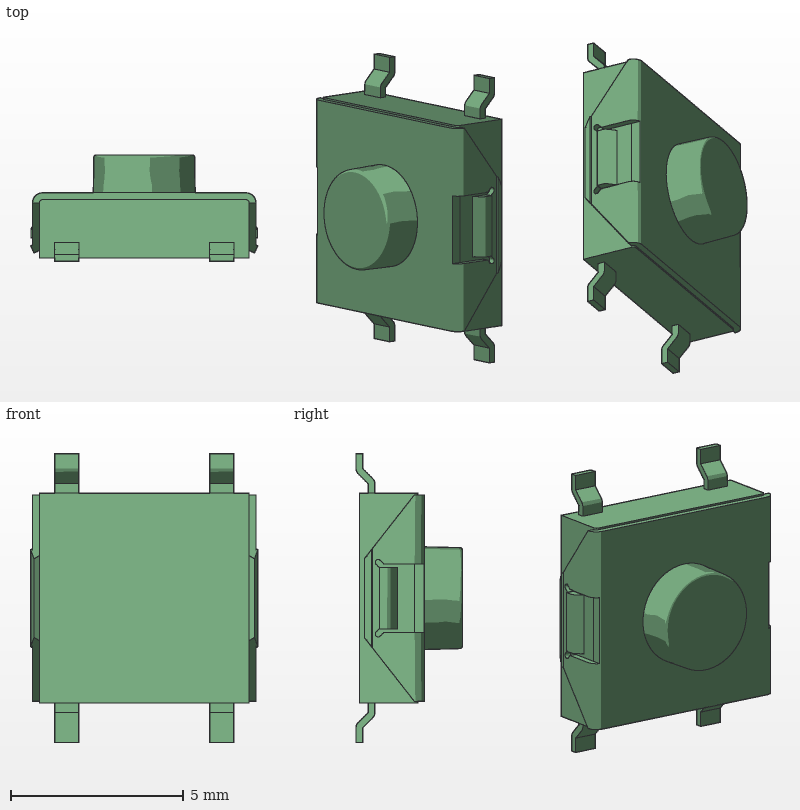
import cadquery as cq
import math


HOUSING_SIDE = 6.1
HOUSING_HEIGHT = 1.7
HALF_SIDE = HOUSING_SIDE / 2

SHEET = 0.2
COVER_LENGTH = 6.0
INNER_BEND = 0.1
OUTER_BEND = INNER_BEND + SHEET
COVER_TOP = HOUSING_HEIGHT + SHEET
FLAP_OUTER = HALF_SIDE + SHEET
FLAP_TIP_Y = 0.14
FLAP_TIP_LENGTH = 2.285
TAPER_START_Y = COVER_TOP - OUTER_BEND

LIP_OUTER = 3.3
LIP_START_Y = 0.35
LIP_ANGLE = 25.0

WINDOW_LENGTH = 2.0
WINDOW_FLOOR = 0.59
RELIEF_WIDTH = 0.17
RELIEF_LENGTH = 0.42
RELIEF_TILT = 45.0
RELIEF_OFFSET = 0.04

LATCH_LENGTH = 1.78
LATCH_TOP = 1.11
LATCH_OUTER = 3.29
LATCH_ROUND = 0.15

BUTTON_TOP = 3.0
BUTTON_BASE_RADIUS = 1.495
BUTTON_TOP_RADIUS = 1.47
BUTTON_ROUND = 0.08

LEAD_SPAN = 8.4
LEAD_WIDTH = 0.705
LEAD_SHEET = 0.2
LEAD_X = 2.25
FOOT_BOTTOM = -0.1
SHOULDER_BOTTOM = 0.25
LEAD_BEND = 45.0
FOOT_LENGTH = 0.44


def make_latch():
    """Latch on the +X wall: 45 degree ramp, rounded crest, flat underside."""
    crest_y = LATCH_TOP - (LATCH_OUTER - HALF_SIDE)
    latch = (
        cq.Workplane("XY")
        .moveTo(HALF_SIDE, WINDOW_FLOOR)
        .lineTo(LATCH_OUTER, WINDOW_FLOOR)
        .lineTo(LATCH_OUTER, crest_y)
        .lineTo(HALF_SIDE, LATCH_TOP)
        .close()
        .extrude(LATCH_LENGTH / 2, both=True)
    )
    crest = cq.selectors.NearestToPointSelector((LATCH_OUTER, crest_y, 0))
    return latch.edges("|Z").edges(crest).fillet(LATCH_ROUND)


def make_housing():
    block = (
        cq.Workplane("XY")
        .center(0, HOUSING_HEIGHT / 2)
        .rect(HOUSING_SIDE, HOUSING_HEIGHT)
        .extrude(HOUSING_SIDE / 2, both=True)
        .edges("|Z and >Y")
        .fillet(INNER_BEND)
    )
    latch = make_latch()
    return block.union(latch).union(latch.mirror("YZ"))


def make_button():
    """Slightly tapered round button standing on the housing."""
    slope = (BUTTON_BASE_RADIUS - BUTTON_TOP_RADIUS) / (BUTTON_TOP - COVER_TOP)
    foot_radius = BUTTON_BASE_RADIUS + slope * SHEET
    return (
        cq.Workplane("YZ")
        .moveTo(HOUSING_HEIGHT, 0)
        .lineTo(HOUSING_HEIGHT, foot_radius)
        .lineTo(BUTTON_TOP, BUTTON_TOP_RADIUS)
        .lineTo(BUTTON_TOP, 0)
        .close()
        .revolve(360, (0, 0, 0), (1, 0, 0))
        .faces(">Y")
        .edges()
        .fillet(BUTTON_ROUND)
    )


def cover_blank():
    """Round-cornered blank down to the lips; cutting the housing from it leaves plate and flaps."""
    height = COVER_TOP - LIP_START_Y
    return (
        cq.Workplane("XY")
        .center(0, LIP_START_Y + height / 2)
        .rect(2 * FLAP_OUTER, height)
        .extrude(COVER_LENGTH / 2, both=True)
        .edges("|Z and >Y")
        .fillet(OUTER_BEND)
    )


def lip():
    """Lip section, square to its own slant and flush with the housing wall."""
    slant = math.tan(math.radians(LIP_ANGLE))
    tip_x = LIP_OUTER - (LIP_START_Y - FLAP_TIP_Y) * slant
    return (
        cq.Workplane("XY")
        .moveTo(LIP_OUTER, LIP_START_Y)
        .lineTo(tip_x, FLAP_TIP_Y)
        .lineTo(HALF_SIDE, FLAP_TIP_Y + (tip_x - HALF_SIDE) * slant)
        .lineTo(HALF_SIDE, LIP_START_Y + (LIP_OUTER - HALF_SIDE) * slant)
        .close()
        .extrude(COVER_LENGTH / 2, both=True)
    )


def side_outline():
    """Prism along X with the outline of the tapered flaps."""
    half_length = COVER_LENGTH / 2
    half_tip = FLAP_TIP_LENGTH / 2
    return (
        cq.Workplane("YZ")
        .polyline([
            (COVER_TOP, -half_length),
            (COVER_TOP, half_length),
            (TAPER_START_Y, half_length),
            (FLAP_TIP_Y, half_tip),
            (FLAP_TIP_Y, -half_tip),
            (TAPER_START_Y, -half_length),
        ])
        .close()
        .extrude(LIP_OUTER, both=True)
    )


def window():
    """Cutter for the +X window, open through the top bend, with corner reliefs."""
    depth = LIP_OUTER - HALF_SIDE
    wall = cq.Workplane("YZ", origin=(HALF_SIDE, 0, 0))
    height = COVER_TOP - WINDOW_FLOOR
    opening = wall.center(WINDOW_FLOOR + height / 2, 0).rect(height, WINDOW_LENGTH).extrude(depth)
    inward = (RELIEF_LENGTH - RELIEF_WIDTH) / 2 * math.sin(math.radians(RELIEF_TILT)) - RELIEF_OFFSET
    for side in (-1, 1):
        relief = (
            wall.center(WINDOW_FLOOR + inward, side * (WINDOW_LENGTH / 2 - inward))
            .slot2D(RELIEF_LENGTH, RELIEF_WIDTH, -RELIEF_TILT * side)
            .extrude(depth)
        )
        opening = opening.union(relief)
    return opening


def make_cover(housing, button):
    right_lip = lip()
    right_window = window()
    return (
        cover_blank()
        .union(right_lip)
        .union(right_lip.mirror("YZ"))
        .intersect(side_outline())
        .cut(right_window)
        .cut(right_window.mirror("YZ"))
        .cut(housing)
        .cut(button)
    )


def make_lead(x, z_side):
    """Gull-wing lead of constant thickness with two equal bends, round on the outside."""
    foot_top = FOOT_BOTTOM + LEAD_SHEET
    shoulder_top = SHOULDER_BOTTOM + LEAD_SHEET
    tip_z = LEAD_SPAN / 2
    foot_bend_z = tip_z - FOOT_LENGTH
    bend = math.radians(LEAD_BEND)
    bend_rise = SHOULDER_BOTTOM - foot_top
    bend_run = (LEAD_SHEET + bend_rise * math.cos(bend)) / math.sin(bend)
    shoulder_bend_z = foot_bend_z - bend_run

    def on_bend(angle):
        """Y and Z offsets from a bend centre to its rounded outside."""
        return LEAD_SHEET * math.cos(angle), LEAD_SHEET * math.sin(angle)

    mid_y, mid_z = on_bend(bend / 2)
    end_y, end_z = on_bend(bend)
    lead = (
        cq.Workplane("YZ")
        .moveTo(SHOULDER_BOTTOM, HALF_SIDE)
        .lineTo(SHOULDER_BOTTOM, shoulder_bend_z)
        .lineTo(foot_top - end_y, foot_bend_z - end_z)
        .threePointArc((foot_top - mid_y, foot_bend_z - mid_z), (FOOT_BOTTOM, foot_bend_z))
        .lineTo(FOOT_BOTTOM, tip_z)
        .lineTo(foot_top, tip_z)
        .lineTo(foot_top, foot_bend_z)
        .lineTo(SHOULDER_BOTTOM + end_y, shoulder_bend_z + end_z)
        .threePointArc(
            (SHOULDER_BOTTOM + mid_y, shoulder_bend_z + mid_z),
            (shoulder_top, shoulder_bend_z),
        )
        .lineTo(shoulder_top, HALF_SIDE)
        .close()
        .extrude(LEAD_WIDTH / 2, both=True)
    )
    if z_side < 0:
        lead = lead.mirror("XY")
    return lead.translate((x, 0, 0))


housing = make_housing()
button = make_button()
cover = make_cover(housing, button)
leads = [make_lead(x, z_side) for x in (-LEAD_X, LEAD_X) for z_side in (-1, 1)]

result = cq.Compound.makeCompound([
    housing.solids().val(),
    button.solids().val(),
    cover.solids().val(),
    *[lead.solids().val() for lead in leads],
])